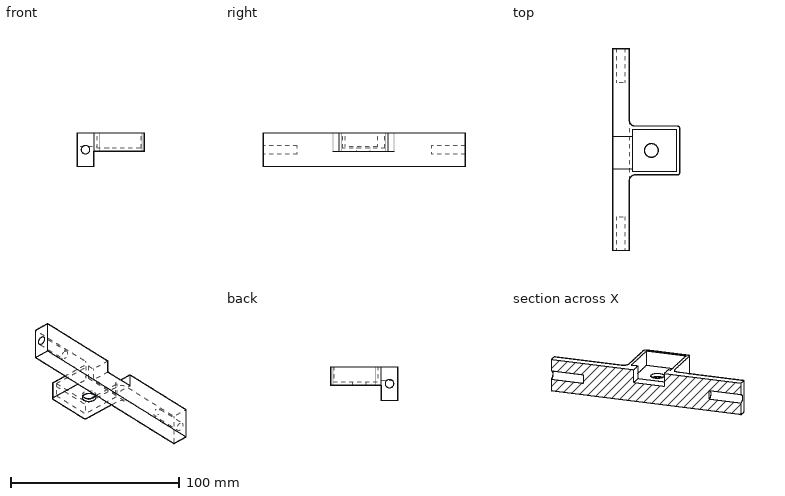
import cadquery as cq

bar_length = 120.0
bar_width = 10.0
bar_height = 20.0

overall_width = 40.0
tray_width = 29.0
tray_height = 11.0
tray_center_y = -0.5
tray_wall = 2.0
tray_floor = 2.0
tray_corner_radius = 1.5
bar_joint_radius = 3.5
pocket_length = 26.0
floor_hole_diameter = 8.0
floor_hole_x = 23.0

notch_width = 19.2
notch_depth = 8.0
notch_center_y = -1.8

end_hole_diameter = 5.0
end_hole_depth = 20.0

tray_bottom = bar_height - tray_height
pocket_bottom = tray_bottom + tray_floor
pocket_end = overall_width - tray_wall
pocket_start = pocket_end - pocket_length
pocket_width = tray_width - 2 * tray_wall


def block(x_start, x_end, center_y, width, z_start, z_end):
    """Axis-aligned block spanning the given X and Z ranges, centred on center_y."""
    return (
        cq.Workplane("XY", origin=(x_start, center_y, z_start))
        .box(x_end - x_start, width, z_end - z_start, centered=(False, True, False))
    )


def joint_fillet(side):
    """Concave fillet between the bar and one side wall of the tray (side is +1 or -1)."""
    wall_y = tray_center_y + side * tray_width / 2
    radius = bar_joint_radius
    fill = block(bar_width, bar_width + radius, wall_y + side * radius / 2, radius, tray_bottom, bar_height)
    rounding = (
        cq.Workplane("XY", origin=(bar_width + radius, wall_y + side * radius, tray_bottom))
        .circle(radius)
        .extrude(tray_height)
    )
    return fill.cut(rounding)


def end_hole(side):
    """Blind hole running inward from one end of the bar (side is +1 or -1)."""
    return cq.Workplane(
        cq.Solid.makeCylinder(
            end_hole_diameter / 2,
            end_hole_depth,
            cq.Vector(bar_width / 2, side * bar_length / 2, bar_height / 2),
            cq.Vector(0, -side, 0),
        )
    )


bar = block(0, bar_width, 0, bar_length, 0, bar_height)
tray = (
    block(bar_width, overall_width, tray_center_y, tray_width, tray_bottom, bar_height)
    .edges("|Z and >X")
    .fillet(tray_corner_radius)
)
result = bar.union(tray)
for side in (-1, 1):
    result = result.union(joint_fillet(side))

pocket = block(pocket_start, pocket_end, tray_center_y, pocket_width, pocket_bottom, bar_height)
notch = block(0, pocket_start, notch_center_y, notch_width, bar_height - notch_depth, bar_height)
floor_hole = (
    cq.Workplane("XY", origin=(floor_hole_x, tray_center_y, tray_bottom))
    .circle(floor_hole_diameter / 2)
    .extrude(tray_height)
)
result = result.cut(pocket).cut(notch).cut(floor_hole)
for side in (-1, 1):
    result = result.cut(end_hole(side))